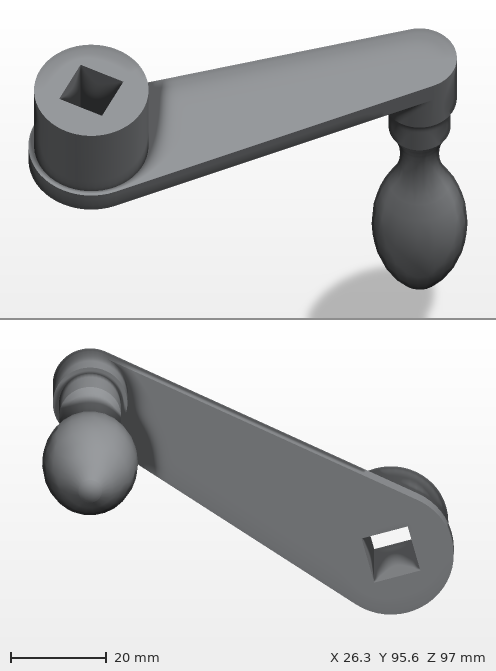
import cadquery as cq
import math

hub_radius = 24.0 / 2
hub_height = 19.1
square_side = 10.0

arm_thickness = 4.85
arm_hub_radius = 26.3 / 2
arm_pin_radius = 15.6 / 2
arm_length = 72.4

pin_boss_length = 8.9

total_height = 97.0
grip_radius = 13.0 / 2
collar_length = 9.6
waist_length = 19.1
waist_arc_radius = 20.0
bulb_radius = 20.1 / 2
bulb_arc_radius = 30.4

arm_top = -hub_height
arm_bottom = arm_top - arm_thickness
boss_bottom = arm_bottom - pin_boss_length


def make_arm():
    """Tapered plate: two end arcs joined by their common tangent lines."""
    tangent_sin = (arm_hub_radius - arm_pin_radius) / arm_length
    tangent_cos = math.sqrt(1 - tangent_sin**2)
    hub_x = arm_hub_radius * tangent_cos
    hub_y = arm_hub_radius * tangent_sin
    pin_x = arm_pin_radius * tangent_cos
    pin_y = arm_length + arm_pin_radius * tangent_sin
    return (
        cq.Workplane("XY", origin=(0, 0, arm_bottom))
        .moveTo(hub_x, hub_y)
        .lineTo(pin_x, pin_y)
        .threePointArc((0, arm_length + arm_pin_radius), (-pin_x, pin_y))
        .lineTo(-hub_x, hub_y)
        .threePointArc((0, -arm_hub_radius), (hub_x, hub_y))
        .close()
        .extrude(arm_thickness)
    )


def make_hub():
    return cq.Workplane("XY", origin=(0, 0, arm_top)).circle(hub_radius).extrude(hub_height)


def make_square_hole():
    """Square drive hole through hub and arm, with its corners on the X and Y axes."""
    return (
        cq.Workplane("XY", origin=(0, 0, arm_bottom))
        .transformed(rotate=(0, 0, 45))
        .rect(square_side, square_side)
        .extrude(hub_height + arm_thickness)
    )


def make_pin_boss():
    return (
        cq.Workplane("XY", origin=(0, arm_length, boss_bottom))
        .circle(arm_pin_radius)
        .extrude(pin_boss_length)
    )


def make_handle():
    """Revolved grip: collar, concave waist, and a bulb with a rounded tip."""
    collar_bottom = boss_bottom - collar_length
    bulb_top = collar_bottom - waist_length
    tip = -total_height

    waist_z = (collar_bottom + bulb_top) / 2
    waist_depth = waist_arc_radius - math.sqrt(waist_arc_radius**2 - (waist_length / 2) ** 2)
    waist_radius = grip_radius - waist_depth

    arc_center_r = bulb_radius - bulb_arc_radius
    widest_z = bulb_top - math.sqrt(bulb_arc_radius**2 - (grip_radius - arc_center_r) ** 2)

    tip_distance = widest_z - tip
    tip_radius = (bulb_arc_radius**2 - arc_center_r**2 - tip_distance**2) / (
        2 * (bulb_arc_radius - tip_distance)
    )
    tip_center_z = tip + tip_radius
    blend_angle = math.atan2(tip_center_z - widest_z, -arc_center_r)
    blend_r = tip_radius * math.cos(blend_angle)
    blend_z = tip_center_z + tip_radius * math.sin(blend_angle)
    mid_tip_angle = (blend_angle - math.pi / 2) / 2
    mid_tip_r = tip_radius * math.cos(mid_tip_angle)
    mid_tip_z = tip_center_z + tip_radius * math.sin(mid_tip_angle)

    return (
        cq.Workplane("XZ", origin=(0, arm_length, 0))
        .moveTo(0, boss_bottom)
        .lineTo(grip_radius, boss_bottom)
        .lineTo(grip_radius, collar_bottom)
        .threePointArc((waist_radius, waist_z), (grip_radius, bulb_top))
        .threePointArc((bulb_radius, widest_z), (blend_r, blend_z))
        .threePointArc((mid_tip_r, mid_tip_z), (0, tip))
        .close()
        .revolve(360, (0, 0, 0), (0, 1, 0))
    )


crank = make_arm().union(make_hub()).cut(make_square_hole())
result = crank.union(make_pin_boss()).union(make_handle())